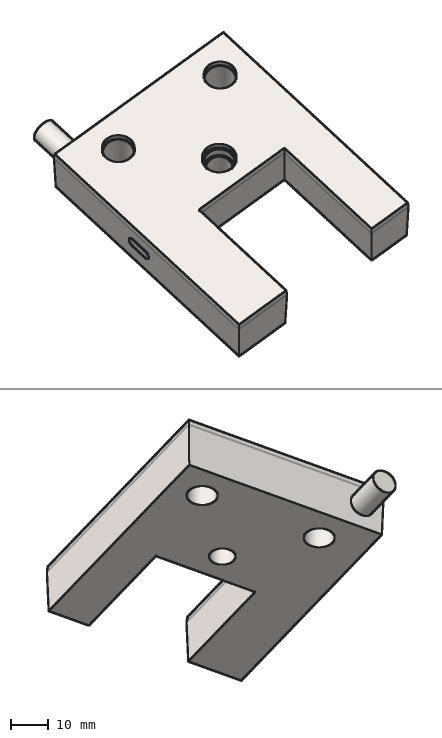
import cadquery as cq

overall_length = 85.6
width = 60.0
height = 15.0
cable_length = 11.5

lid_height = 1.6
band_height = 0.3
base_height = height - lid_height - band_height
lid_inset = 0.2
base_inset = 0.3

throat_x = 50.65
slot_width = 29.9
slot_center_y = 2.0

pair_x = 21.5
pair_spacing = 36.0
pair_lid_diameter = 8.7
pair_base_diameter = 8.2
single_x = 41.5
single_lid_diameter = 9.2
single_counterbore_diameter = 8.0
single_counterbore_depth = 4.3
single_through_diameter = 7.0

cable_diameter = 6.9
cable_y = -23.45
cable_z = 7.45
cable_embed = 1.7

window_x = 45.3
window_z = 7.2
window_length = 7.95
window_height = 3.2
window_recess = 0.1


def fork_outline(plane, inset):
    """Closed U-shaped outline with every side moved inward by inset."""
    left = cable_length + inset
    right = overall_length - inset
    back = width / 2 - inset
    throat = throat_x - inset
    slot_back = slot_center_y + slot_width / 2 + inset
    slot_front = slot_center_y - slot_width / 2 - inset
    return plane.polyline([
        (left, -back),
        (right, -back),
        (right, slot_front),
        (throat, slot_front),
        (throat, slot_back),
        (right, slot_back),
        (right, back),
        (left, back),
    ]).close()


def fork_layer(bottom_z, thickness, bottom_inset, top_inset):
    """U-shaped layer whose sides slope between two insets."""
    bottom = fork_outline(cq.Workplane("XY").workplane(offset=bottom_z), bottom_inset)
    return fork_outline(bottom.workplane(offset=thickness), top_inset).loft(ruled=True)


def bore(x, y, diameter, bottom_z):
    """Round cutter from bottom_z up to the top face."""
    plane = cq.Workplane("XY", origin=(x, y, bottom_z))
    return plane.circle(diameter / 2).extrude(height - bottom_z)


lid_bottom = height - lid_height
base = fork_layer(0, base_height, base_inset, 0)
band = fork_layer(base_height, band_height, 0, 0)
lid = fork_layer(lid_bottom, lid_height, 0, lid_inset)
housing = base.union(band).union(lid)

for side in (-1, 1):
    hole_y = slot_center_y + side * pair_spacing / 2
    housing = housing.cut(bore(pair_x, hole_y, pair_base_diameter, 0))
    housing = housing.cut(bore(pair_x, hole_y, pair_lid_diameter, lid_bottom))

housing = housing.cut(bore(single_x, slot_center_y, single_through_diameter, 0))
housing = housing.cut(bore(single_x, slot_center_y, single_counterbore_diameter,
                           height - single_counterbore_depth))
housing = housing.cut(bore(single_x, slot_center_y, single_lid_diameter, lid_bottom))

face_y = -width / 2 + base_inset * (1 - window_z / base_height)
window_plane = cq.Workplane("XZ", origin=(window_x, face_y + window_recess, window_z))
window = window_plane.slot2D(window_length, window_height).extrude(base_inset + window_recess)
housing = housing.cut(window)

cable_plane = cq.Workplane("YZ", origin=(0, cable_y, cable_z))
cable = cable_plane.circle(cable_diameter / 2).extrude(cable_length + cable_embed)

result = housing.union(cable)